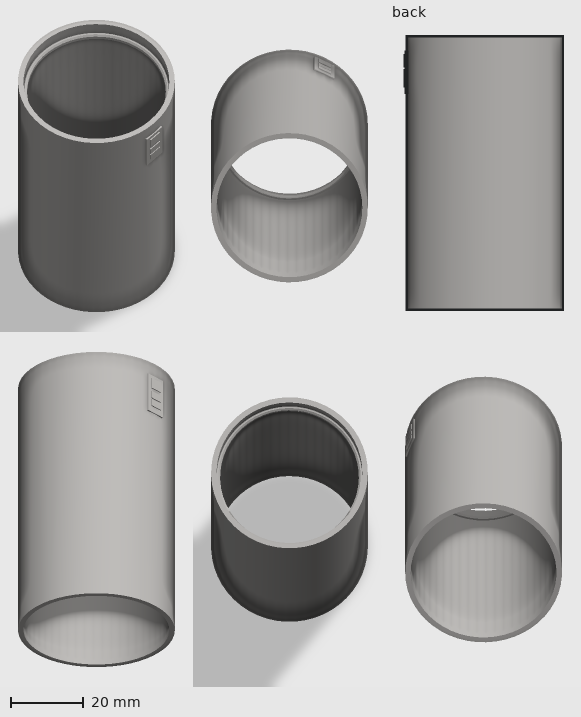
import cadquery as cq

TUBE_HEIGHT = 75.0
OUTER_DIAMETER = 43.0
OUTER_RADIUS = OUTER_DIAMETER / 2
BORE_DIAMETER = 40.0

RIDGE_DEPTH = 3.8
RIDGE_HEIGHT = 1.95
RIDGE_SHOULDER_DIAMETER = 39.0
RIDGE_CREST_DIAMETER = 38.0
RIDGE_CHAMFER = (RIDGE_SHOULDER_DIAMETER - RIDGE_CREST_DIAMETER) / 2

BADGE_HEIGHT = 0.6
PLATE_THICKNESS = 0.3
PLATE_WIDTH = 6.15
PLATE_BOTTOM = 59.5
PLATE_TOP = 70.9
BLOCK_WIDTH = 3.75
BLOCK_SPANS = [(61.3, 63.3), (63.7, 65.8), (66.75, 69.8)]

BADGE_FACE = OUTER_RADIUS + BADGE_HEIGHT
PLATE_FACE = OUTER_RADIUS + PLATE_THICKNESS


def make_tube():
    """Revolve the wall of the tube, with its chamfered inner ridge, about Z."""
    bore_radius = BORE_DIAMETER / 2
    shoulder_radius = RIDGE_SHOULDER_DIAMETER / 2
    crest_radius = RIDGE_CREST_DIAMETER / 2
    ridge_top = TUBE_HEIGHT - RIDGE_DEPTH
    ridge_bottom = ridge_top - RIDGE_HEIGHT
    wall = [
        (bore_radius, 0),
        (OUTER_RADIUS, 0),
        (OUTER_RADIUS, TUBE_HEIGHT),
        (bore_radius, TUBE_HEIGHT),
        (bore_radius, ridge_top),
        (shoulder_radius, ridge_top),
        (crest_radius, ridge_top - RIDGE_CHAMFER),
        (crest_radius, ridge_bottom + RIDGE_CHAMFER),
        (shoulder_radius, ridge_bottom),
        (bore_radius, ridge_bottom),
    ]
    return cq.Workplane("XZ").polyline(wall).close().revolve(360, (0, 0), (0, 1))


def make_plate():
    """Thin plate with a flat front, its back hollowed to sit on the tube."""
    blank = cq.Workplane("XY", origin=(0, 0, PLATE_BOTTOM)).rect(
        2 * PLATE_FACE, PLATE_WIDTH
    ).extrude(PLATE_TOP - PLATE_BOTTOM)
    tube_space = cq.Workplane("XY").circle(OUTER_RADIUS).extrude(TUBE_HEIGHT)
    return blank.cut(tube_space).solids(">X")


def make_block(bottom, top):
    """Raised block standing on the flat front of the plate."""
    return cq.Workplane("XY", origin=(PLATE_FACE, 0, bottom)).box(
        BADGE_FACE - PLATE_FACE, BLOCK_WIDTH, top - bottom, centered=(False, True, False)
    )


tube = make_tube()
plate = make_plate()
blocks = [make_block(bottom, top) for bottom, top in BLOCK_SPANS]

result = cq.Compound.makeCompound([tube.val(), plate.val(), *[block.val() for block in blocks]])